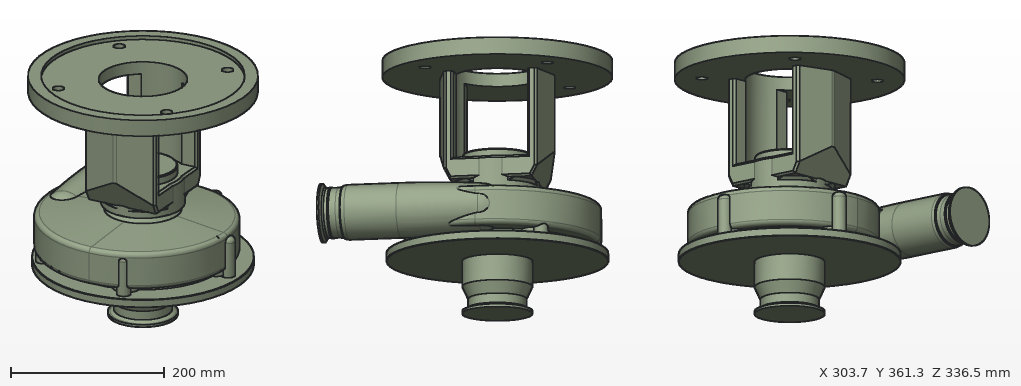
import cadquery as cq
import math

TOTAL_HEIGHT = 336.5
FLANGE_RADIUS = 150.0
FLANGE_THICKNESS = 22.5
FLANGE_BOTTOM = TOTAL_HEIGHT - FLANGE_THICKNESS
RECESS_RADIUS = 132.5
RECESS_DEPTH = 5.0
BORE_RADIUS = 57.8
BOLT_HOLE_RADIUS = 7.5
BOLT_HOLE_OFFSET = 81.0

YOKE_HALF_WIDTH = 52.7
YOKE_RIDGE_Y = 75.5
YOKE_SIDE_Y = 61.0
RIDGE_HALF_FLAT = 2.5
WINDOW_HALF_WIDTH = 49.0
WINDOW_FLOOR = 199.7
YOKE_BOTTOM = 171.2
YOKE_FOOT_Y = 54.0
FOOT_GUSSET = 4.5
YOKE_SLOPE_TOP = 212.0
YOKE_EDGE = 3.0

HUB_RADIUS = 55.0
HUB_BOTTOM = 158.0
SHAFT_END_RADIUS = 45.0
SHAFT_END_TOP = 211.0
SHAFT_END_CHAMFER = 1.5
NECK_RADIUS = 46.5
NECK_BOTTOM = 154.2
COLLAR_RADIUS = 50.5
COLLAR_BOTTOM = 148.8

CASING_BOTTOM = 90.3
CASING_RIM = 142.0
CASING_ROUND = 6.5
SPIRAL_FIRST_RADIUS = 116.5
SPIRAL_STEP = 8.0
SPIRAL_SEAM_ANGLE = 140.0
ROOF_TOP_STEP = 0.5

PLATE_RADIUS = 145.0
PLATE_BOTTOM = 69.7
PLATE_TOP = 81.0
PLATE_CHAMFER = 0.7
CORE_RADIUS = 112.0

LUG_COUNT = 5
LUG_RADIUS = 9.5
LUG_CIRCLE = 127.0
OUTER_LUG_CIRCLE = 131.0
OUTER_LUGS = (2, 3)
LUG_TOP = 136.0
LUG_ROUND = 6.5
PAD_RADIUS = 18.0
PAD_INSET = 18.0
PAD_BOTTOM = 82.7

INLET_RADIUS = 46.0
INLET_NECK_RADIUS = 38.3
INLET_RIM_HEIGHT = 3.5
INLET_RIM_SHOULDER = (43.5, 4.5)
INLET_NECK_BOTTOM = 7.2
INLET_NECK_TOP = 19.5
INLET_CONE_TOP = 35.8

NOZZLE_X = -115.2
NOZZLE_Z = 117.8
NOZZLE_END_Y = 211.3
NOZZLE_RIM_RADIUS = 38.5
NOZZLE_RIM_Y = 208.8
NOZZLE_RIM_SHOULDER = (37.2, 208.0)
NOZZLE_NECK_FLARE = (34.0, 206.0)
NOZZLE_NECK_RADIUS = 33.0
NOZZLE_NECK_END_Y = 203.5
BEAD_RADIUS = 33.5
BEAD_END_Y = 199.0
BEAD_START_Y = 197.0
NOZZLE_NECK_CONE_Y = 188.2
NOZZLE_SHOULDER_END_Y = 182.5
NOZZLE_SHOULDER_MIDDLE = (35.0, 181.0)
NOZZLE_SHOULDER_START_Y = 176.0
NOZZLE_BODY_RADIUS = 36.0
NOZZLE_TAPER_Y = 107.3
NOZZLE_TIP_RADIUS = 31.8


def spiral_outline(first_radius, step, height):
    """Closed spiral of tangent arcs centred on the corners of a square with side `step`."""
    corner = step / 2
    arcs = [
        ((corner, corner), SPIRAL_SEAM_ANGLE, 90),
        ((corner, -corner), 90, 0),
        ((-corner, -corner), 0, -90),
        ((-corner, corner), -90, -180),
        ((corner, corner), -180, SPIRAL_SEAM_ANGLE - 360),
    ]

    def arc_point(index, degrees):
        center_x, center_y = arcs[index][0]
        radius = first_radius + index * step
        angle = math.radians(degrees)
        return (center_x + radius * math.cos(angle), center_y + radius * math.sin(angle))

    outline = cq.Workplane("XY").workplane(offset=height).moveTo(*arc_point(0, SPIRAL_SEAM_ANGLE))
    for index, (_, start, end) in enumerate(arcs):
        outline = outline.threePointArc(arc_point(index, (start + end) / 2), arc_point(index, end))
    return outline.close()


def cylinder(radius, bottom, top):
    return cq.Workplane("XY").workplane(offset=bottom).circle(radius).extrude(top - bottom)


def revolve_profile(profile):
    """Turn a profile of (radius, height) points about the Z axis."""
    return cq.Workplane("XZ").polyline(profile).close().revolve(360, (0, 0), (0, 1))


def make_flange():
    flange = cylinder(FLANGE_RADIUS, FLANGE_BOTTOM, TOTAL_HEIGHT)
    flange = flange.cut(cylinder(RECESS_RADIUS, TOTAL_HEIGHT - RECESS_DEPTH, TOTAL_HEIGHT))
    spacing = 2 * BOLT_HOLE_OFFSET
    holes = (
        cq.Workplane("XY")
        .workplane(offset=FLANGE_BOTTOM)
        .rarray(spacing, spacing, 2, 2)
        .circle(BOLT_HOLE_RADIUS)
        .extrude(FLANGE_THICKNESS)
    )
    return flange.cut(holes)


def make_yoke():
    plan = [
        (YOKE_HALF_WIDTH, -YOKE_SIDE_Y),
        (YOKE_HALF_WIDTH, YOKE_SIDE_Y),
        (RIDGE_HALF_FLAT, YOKE_RIDGE_Y),
        (-RIDGE_HALF_FLAT, YOKE_RIDGE_Y),
        (-YOKE_HALF_WIDTH, YOKE_SIDE_Y),
        (-YOKE_HALF_WIDTH, -YOKE_SIDE_Y),
        (-RIDGE_HALF_FLAT, -YOKE_RIDGE_Y),
        (RIDGE_HALF_FLAT, -YOKE_RIDGE_Y),
    ]
    height = FLANGE_BOTTOM - YOKE_BOTTOM
    prism = cq.Workplane("XY").workplane(offset=YOKE_BOTTOM).polyline(plan).close().extrude(height)

    side = [
        (YOKE_FOOT_Y, YOKE_BOTTOM),
        (YOKE_RIDGE_Y, YOKE_SLOPE_TOP),
        (YOKE_RIDGE_Y, FLANGE_BOTTOM),
        (-YOKE_RIDGE_Y, FLANGE_BOTTOM),
        (-YOKE_RIDGE_Y, YOKE_SLOPE_TOP),
        (-YOKE_FOOT_Y, YOKE_BOTTOM),
    ]
    envelope = cq.Workplane("YZ").polyline(side).close().extrude(YOKE_HALF_WIDTH, both=True)
    yoke = prism.intersect(envelope)

    window_height = FLANGE_BOTTOM - WINDOW_FLOOR
    window = cq.Workplane("XY").box(
        2 * YOKE_HALF_WIDTH, 2 * WINDOW_HALF_WIDTH, window_height, centered=(True, True, False)
    )
    yoke = yoke.cut(window.translate((0, 0, WINDOW_FLOOR)))
    return yoke.faces("<X or >X").edges("not >Z").chamfer(YOKE_EDGE)


def make_hub():
    hub = cylinder(HUB_RADIUS, HUB_BOTTOM, WINDOW_FLOOR).faces(">Z").edges().chamfer(YOKE_EDGE)
    shaft_end = cylinder(SHAFT_END_RADIUS, WINDOW_FLOOR, SHAFT_END_TOP)
    return hub.union(shaft_end.faces(">Z").edges().chamfer(SHAFT_END_CHAMFER))


def make_foot_gusset():
    """Conical transition from the hub to the underside of the yoke feet."""
    profile = [
        (0, YOKE_BOTTOM - FOOT_GUSSET),
        (HUB_RADIUS, YOKE_BOTTOM - FOOT_GUSSET),
        (HUB_RADIUS + FOOT_GUSSET, YOKE_BOTTOM),
        (0, YOKE_BOTTOM),
    ]
    cone = revolve_profile(profile)
    foot = cq.Workplane("XY").box(2 * (YOKE_HALF_WIDTH - YOKE_EDGE), 2 * YOKE_FOOT_Y, 2 * YOKE_BOTTOM)
    return cone.intersect(foot.translate((0, 0, YOKE_BOTTOM)))


def make_neck():
    profile = [
        (0, CASING_BOTTOM),
        (COLLAR_RADIUS, CASING_BOTTOM),
        (COLLAR_RADIUS, COLLAR_BOTTOM),
        (NECK_RADIUS, NECK_BOTTOM),
        (NECK_RADIUS, HUB_BOTTOM),
        (0, HUB_BOTTOM),
    ]
    return revolve_profile(profile)


def make_casing():
    outline = spiral_outline(SPIRAL_FIRST_RADIUS, SPIRAL_STEP, CASING_BOTTOM)
    casing = outline.extrude(CASING_RIM - CASING_BOTTOM)
    casing = casing.faces(">Z or <Z").edges().fillet(CASING_ROUND)
    rim = spiral_outline(SPIRAL_FIRST_RADIUS - CASING_ROUND, SPIRAL_STEP, CASING_RIM)
    top = spiral_outline(COLLAR_RADIUS, ROOF_TOP_STEP, COLLAR_BOTTOM)
    roof = cq.Solid.makeLoft([rim.val(), top.val()], True)
    return casing.union(cq.Workplane(roof))


def make_plate():
    plate = cylinder(PLATE_RADIUS, PLATE_BOTTOM, PLATE_TOP).edges().chamfer(PLATE_CHAMFER)
    return plate.union(cylinder(CORE_RADIUS, PLATE_TOP, CASING_BOTTOM))


def make_lugs():
    lugs = cq.Workplane("XY")
    for index in range(LUG_COUNT):
        angle = -360.0 * index / LUG_COUNT
        circle = OUTER_LUG_CIRCLE if index in OUTER_LUGS else LUG_CIRCLE
        lug = cylinder(LUG_RADIUS, PLATE_TOP, LUG_TOP).faces(">Z").edges().fillet(LUG_ROUND)
        lug = lug.translate((circle, 0, 0))
        pad = cylinder(PAD_RADIUS, PAD_BOTTOM, CASING_BOTTOM).translate((circle - PAD_INSET, 0, 0))
        lug = lug.union(pad)
        lugs = lugs.union(lug.rotate((0, 0, 0), (0, 0, 1), angle))
    return lugs


def make_inlet():
    profile = [
        (0, 0),
        (INLET_RADIUS, 0),
        (INLET_RADIUS, INLET_RIM_HEIGHT),
        INLET_RIM_SHOULDER,
        (INLET_NECK_RADIUS, INLET_NECK_BOTTOM),
        (INLET_NECK_RADIUS, INLET_NECK_TOP),
        (INLET_RADIUS, INLET_CONE_TOP),
        (INLET_RADIUS, PLATE_BOTTOM),
        (0, PLATE_BOTTOM),
    ]
    return revolve_profile(profile)


def make_nozzle():
    profile = [
        (0, NOZZLE_END_Y),
        (NOZZLE_RIM_RADIUS, NOZZLE_END_Y),
        (NOZZLE_RIM_RADIUS, NOZZLE_RIM_Y),
        NOZZLE_RIM_SHOULDER,
        NOZZLE_NECK_FLARE,
        (NOZZLE_NECK_RADIUS, NOZZLE_NECK_END_Y),
        (NOZZLE_NECK_RADIUS, BEAD_END_Y),
        (BEAD_RADIUS, BEAD_END_Y),
        (BEAD_RADIUS, BEAD_START_Y),
        (NOZZLE_NECK_RADIUS, BEAD_START_Y),
        (NOZZLE_NECK_RADIUS, NOZZLE_NECK_CONE_Y),
        (BEAD_RADIUS, NOZZLE_SHOULDER_END_Y),
        NOZZLE_SHOULDER_MIDDLE,
        (NOZZLE_BODY_RADIUS, NOZZLE_SHOULDER_START_Y),
        (NOZZLE_BODY_RADIUS, NOZZLE_TAPER_Y),
    ]
    taper_middle_radius = NOZZLE_BODY_RADIUS - (NOZZLE_BODY_RADIUS - NOZZLE_TIP_RADIUS) / 4
    diagonal = NOZZLE_TIP_RADIUS / math.sqrt(2)
    nozzle = (
        cq.Workplane("XY")
        .polyline(profile)
        .threePointArc((taper_middle_radius, NOZZLE_TAPER_Y / 2), (NOZZLE_TIP_RADIUS, 0))
        .threePointArc((diagonal, -diagonal), (0, -NOZZLE_TIP_RADIUS))
        .close()
        .revolve(360, (0, 0), (0, 1))
    )
    return nozzle.translate((NOZZLE_X, 0, NOZZLE_Z))


def make_flange_and_yoke():
    upper = make_flange().union(make_yoke())
    upper = upper.cut(cylinder(BORE_RADIUS, WINDOW_FLOOR, TOTAL_HEIGHT)).union(make_hub())
    return upper.union(make_foot_gusset())


result = (
    make_flange_and_yoke()
    .union(make_neck())
    .union(make_casing())
    .union(make_plate())
    .union(make_lugs())
    .union(make_inlet())
    .union(make_nozzle())
)